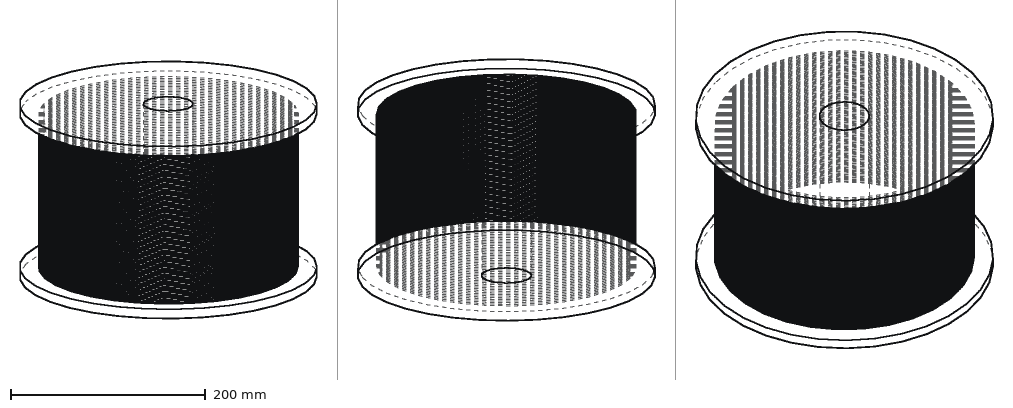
import cadquery as cq

flange_diameter = 304.8
spool_height = 184.0
flange_thickness = 10.0
bore_diameter = 51.0

turn_count = 94
lowest_turn_sink = 0.4
winding_diameter = 266.5

flange_radius = flange_diameter / 2
bore_radius = bore_diameter / 2
winding_radius = winding_diameter / 2
upper_flange_face = spool_height - flange_thickness
winding_bottom = flange_thickness - lowest_turn_sink
filament_diameter = (upper_flange_face - winding_bottom) / turn_count
filament_radius = filament_diameter / 2
turn_centre_radius = winding_radius - filament_radius


def flange(bottom):
    """Flange disc with the bore through it."""
    return (
        cq.Workplane("XY", origin=(0, 0, bottom))
        .circle(flange_radius)
        .circle(bore_radius)
        .extrude(flange_thickness)
    )


def winding():
    """Barrel with one half-round bead per turn of filament."""
    section = (
        cq.Workplane("XZ")
        .moveTo(bore_radius, winding_bottom)
        .lineTo(turn_centre_radius, winding_bottom)
    )
    for turn in range(turn_count):
        turn_bottom = winding_bottom + turn * filament_diameter
        section = section.threePointArc(
            (winding_radius, turn_bottom + filament_radius),
            (turn_centre_radius, turn_bottom + filament_diameter),
        )
    section = section.lineTo(bore_radius, upper_flange_face).close()
    return section.revolve(360, (0, 0, 0), (0, 1, 0))


lower_flange = flange(0)
upper_flange = flange(upper_flange_face)
result = winding().union(lower_flange).union(upper_flange)